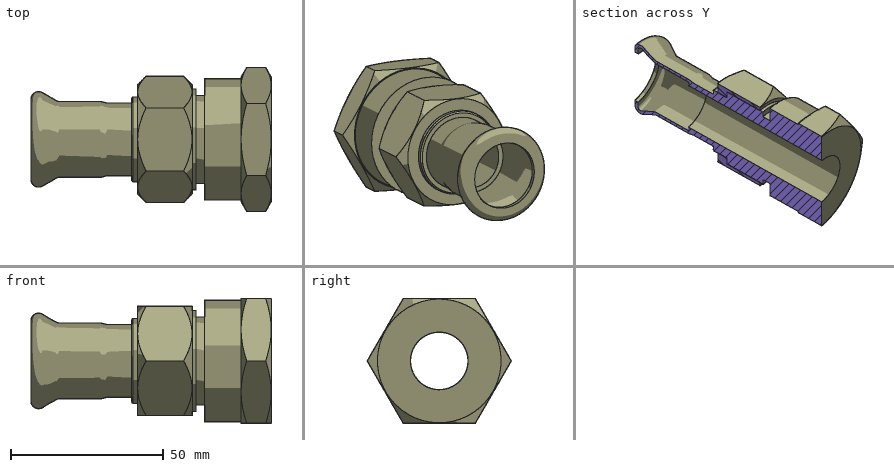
import cadquery as cq
import math

LENGTH = 79.0

SOCKET_RADIUS = 12.5
SOCKET_BORE_RADIUS = 11.0
SOCKET_WALL = SOCKET_RADIUS - SOCKET_BORE_RADIUS
BEAD_RADIUS = 2.5
BEAD_CENTRE_RADIUS = 13.2
BEAD_ANGLE = math.radians(30)
BEAD_BLEND = 2.0

TUBE_RADIUS = 12.0
BORE_RADIUS = 9.4
TAPER_START_X = 22.75
TAPER_ANGLE = math.radians(15)
TAPER_BLEND = 2.0

SLEEVE_RADIUS = 14.0
SLEEVE_START_X = 33.0
SLEEVE_CHAMFER = 0.5
THREAD_DIAMETER = 33.25
THREAD_RADIUS = THREAD_DIAMETER / 2
THREAD_END_X = 54.2
NECK_DIAMETER = 29.0
NECK_RADIUS = NECK_DIAMETER / 2
BARREL_RADIUS = 20.0
BARREL_START_X = 57.0

END_HEX_START_X = 68.9
END_HEX_FLATS = 41.0
END_HEX_FACE_RADIUS = 20.3
END_HEX_CHAMFER = math.radians(30)

NUT_START_X = 34.9
NUT_END_X = 53.0
NUT_FLATS = 35.95
NUT_FACE_RADIUS = 17.85
NUT_CHAMFER = math.radians(45)
NUT_FRONT_WALL = 3.95
THREAD_START_X = NUT_START_X + NUT_FRONT_WALL


def arc_point(x, r, radius, angle):
    """Point on a circle about (x, r), at an angle from the +r direction toward +x."""
    return x + radius * math.sin(angle), r + radius * math.cos(angle)


def revolve(profile):
    return profile.close().revolve(360, (0, 0, 0), (1, 0, 0))


def chamfered_hex(start_x, end_x, flats, face_radius, chamfer_angle):
    """Hexagonal prism along X, corners on Y, with both ends turned to a cone."""
    corner_diameter = flats / math.cos(math.pi / 6)
    corner_radius = corner_diameter / 2
    depth = (corner_radius - face_radius) * math.tan(chamfer_angle)
    prism = cq.Workplane("YZ", origin=(start_x, 0, 0)).polygon(6, corner_diameter).extrude(end_x - start_x)
    turned = revolve(
        cq.Workplane("XY")
        .moveTo(start_x, 0)
        .lineTo(start_x, face_radius)
        .lineTo(start_x + depth, corner_radius)
        .lineTo(end_x - depth, corner_radius)
        .lineTo(end_x, face_radius)
        .lineTo(end_x, 0)
    )
    return prism.intersect(turned)


def make_turned_outside():
    """Solid of revolution for the fitting's outside, from the bead to the barrel."""
    bead_end = arc_point(BEAD_RADIUS, BEAD_CENTRE_RADIUS, BEAD_RADIUS, BEAD_ANGLE)
    blend_r = SOCKET_RADIUS + BEAD_BLEND
    cone_end_r = blend_r - BEAD_BLEND * math.cos(BEAD_ANGLE)
    cone_end_x = bead_end[0] + (bead_end[1] - cone_end_r) / math.tan(BEAD_ANGLE)
    blend_x = cone_end_x + BEAD_BLEND * math.sin(BEAD_ANGLE)

    blend_run = TAPER_BLEND * math.sin(TAPER_ANGLE)
    blend_drop = TAPER_BLEND * (1 - math.cos(TAPER_ANGLE))
    taper_drop = SOCKET_RADIUS - TUBE_RADIUS - 2 * blend_drop
    taper_run = taper_drop / math.tan(TAPER_ANGLE)
    taper_end_x = TAPER_START_X + 2 * blend_run + taper_run

    return revolve(
        cq.Workplane("XY")
        .moveTo(0, 0)
        .lineTo(0, BEAD_CENTRE_RADIUS)
        .threePointArc(arc_point(BEAD_RADIUS, BEAD_CENTRE_RADIUS, BEAD_RADIUS, -math.pi / 4), bead_end)
        .lineTo(cone_end_x, cone_end_r)
        .threePointArc(
            arc_point(blend_x, blend_r, BEAD_BLEND, math.pi + BEAD_ANGLE / 2),
            (blend_x, SOCKET_RADIUS),
        )
        .lineTo(TAPER_START_X, SOCKET_RADIUS)
        .threePointArc(
            arc_point(TAPER_START_X, SOCKET_RADIUS - TAPER_BLEND, TAPER_BLEND, TAPER_ANGLE / 2),
            (TAPER_START_X + blend_run, SOCKET_RADIUS - blend_drop),
        )
        .lineTo(taper_end_x - blend_run, TUBE_RADIUS + blend_drop)
        .threePointArc(
            arc_point(taper_end_x, TUBE_RADIUS + TAPER_BLEND, TAPER_BLEND, math.pi + TAPER_ANGLE / 2),
            (taper_end_x, TUBE_RADIUS),
        )
        .lineTo(SLEEVE_START_X, TUBE_RADIUS)
        .lineTo(SLEEVE_START_X, SLEEVE_RADIUS - SLEEVE_CHAMFER)
        .lineTo(SLEEVE_START_X + SLEEVE_CHAMFER, SLEEVE_RADIUS)
        .lineTo(THREAD_START_X, SLEEVE_RADIUS)
        .lineTo(THREAD_START_X, THREAD_RADIUS)
        .lineTo(THREAD_END_X, THREAD_RADIUS)
        .lineTo(THREAD_END_X, NECK_RADIUS)
        .lineTo(BARREL_START_X, NECK_RADIUS)
        .lineTo(BARREL_START_X, BARREL_RADIUS)
        .lineTo(END_HEX_START_X, BARREL_RADIUS)
        .lineTo(END_HEX_START_X, 0)
    )


def make_bore():
    """Through bore with the wider press socket and the seal groove inside the bead."""
    groove_radius = BEAD_RADIUS - SOCKET_WALL
    groove_end = arc_point(BEAD_RADIUS, BEAD_CENTRE_RADIUS, groove_radius, BEAD_ANGLE)
    blend_radius = BEAD_BLEND + SOCKET_WALL
    blend_r = SOCKET_BORE_RADIUS + blend_radius
    cone_end_r = blend_r - blend_radius * math.cos(BEAD_ANGLE)
    cone_end_x = groove_end[0] + (groove_end[1] - cone_end_r) / math.tan(BEAD_ANGLE)
    blend_x = cone_end_x + blend_radius * math.sin(BEAD_ANGLE)
    return revolve(
        cq.Workplane("XY")
        .moveTo(0, 0)
        .lineTo(0, SOCKET_BORE_RADIUS)
        .lineTo(SOCKET_WALL, SOCKET_BORE_RADIUS)
        .lineTo(SOCKET_WALL, BEAD_CENTRE_RADIUS)
        .threePointArc(arc_point(BEAD_RADIUS, BEAD_CENTRE_RADIUS, groove_radius, -math.pi / 4), groove_end)
        .lineTo(cone_end_x, cone_end_r)
        .threePointArc(
            arc_point(blend_x, blend_r, blend_radius, math.pi + BEAD_ANGLE / 2),
            (blend_x, SOCKET_BORE_RADIUS),
        )
        .lineTo(TAPER_START_X, SOCKET_BORE_RADIUS)
        .lineTo(TAPER_START_X, BORE_RADIUS)
        .lineTo(LENGTH, BORE_RADIUS)
        .lineTo(LENGTH, 0)
    )


def make_fitting():
    end_hex = chamfered_hex(END_HEX_START_X, LENGTH, END_HEX_FLATS, END_HEX_FACE_RADIUS, END_HEX_CHAMFER)
    return make_turned_outside().union(end_hex).cut(make_bore())


def make_union_nut():
    """Hexagonal nut around the sleeve and the threaded shoulder of the fitting."""
    blank = chamfered_hex(NUT_START_X, NUT_END_X, NUT_FLATS, NUT_FACE_RADIUS, NUT_CHAMFER)
    opening = revolve(
        cq.Workplane("XY")
        .moveTo(NUT_START_X, 0)
        .lineTo(NUT_START_X, SLEEVE_RADIUS)
        .lineTo(THREAD_START_X, SLEEVE_RADIUS)
        .lineTo(THREAD_START_X, THREAD_RADIUS)
        .lineTo(NUT_END_X, THREAD_RADIUS)
        .lineTo(NUT_END_X, 0)
    )
    return blank.cut(opening)


fitting = make_fitting()
union_nut = make_union_nut()

result = cq.Compound.makeCompound([fitting.val(), union_nut.val()])